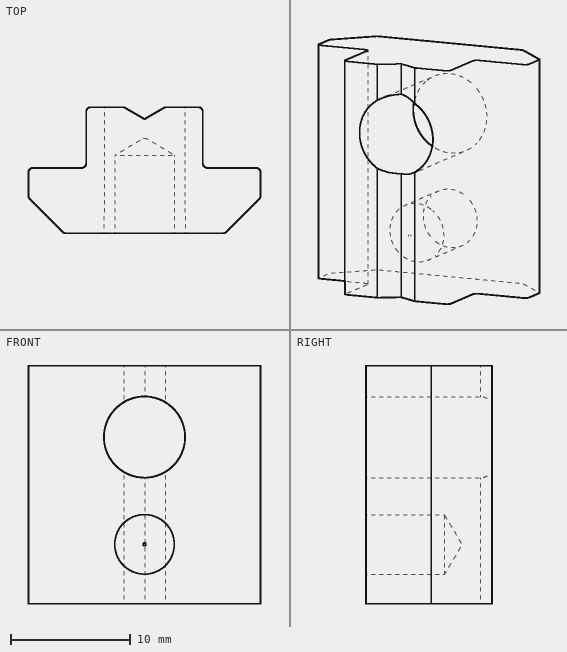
import cadquery as cq
import math

width = 19.5
depth = 10.6
height = 20.0

flange_depth = 5.5
stem_width = 9.8
front_chamfer = 3.0
notch_depth = 1.0
notch_slope = 30.0
edge_radius = 0.4

through_diameter = 6.8
through_z = 14.0
blind_diameter = 5.0
blind_z = 5.0
blind_depth = 8.0
tip_diameter = 0.25
drill_point_angle = 118.0

half_width = width / 2
half_stem = stem_width / 2
half_notch = notch_depth / math.tan(math.radians(notch_slope))


def make_body():
    """T-shaped bar with chamfered front corners, a V notch and rounded long edges."""
    right_side = [
        (half_width - front_chamfer, 0),
        (half_width, front_chamfer),
        (half_width, flange_depth),
        (half_stem, flange_depth),
        (half_stem, depth),
    ]
    left_side = [(-x, y) for x, y in reversed(right_side)]
    bar = cq.Workplane("XY").polyline(right_side + left_side).close().extrude(height)
    bar = bar.edges("|Z").fillet(edge_radius)
    notch = (
        cq.Workplane("XY")
        .polyline([(-half_notch, depth), (0, depth - notch_depth), (half_notch, depth)])
        .close()
        .extrude(height)
    )
    return bar.cut(notch)


def make_through_hole():
    axis_start = cq.Vector(0, 0, through_z)
    return cq.Solid.makeCylinder(through_diameter / 2, depth, axis_start, cq.Vector(0, 1, 0))


def make_blind_hole():
    """Drilled hole with a conical point and a small flat tip."""
    radius = blind_diameter / 2
    tip_radius = tip_diameter / 2
    point_length = (radius - tip_radius) / math.tan(math.radians(drill_point_angle / 2))
    profile = [
        (0, 0),
        (radius, 0),
        (radius, blind_depth - point_length),
        (tip_radius, blind_depth),
        (0, blind_depth),
    ]
    return (
        cq.Workplane("XY")
        .polyline(profile)
        .close()
        .revolve(360, (0, 0), (0, 1))
        .translate((0, 0, blind_z))
    )


result = make_body().cut(make_through_hole()).cut(make_blind_hole())